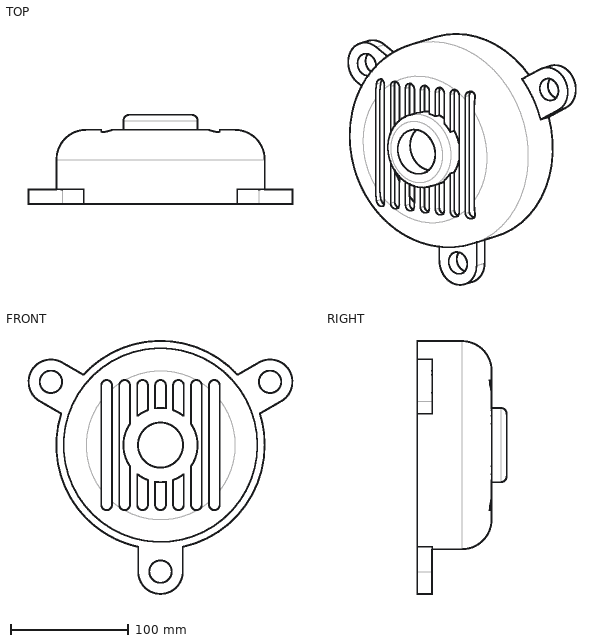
import cadquery as cq
import math

overall_width = 225.0
overall_depth = 76.3
body_radius = 89.0
body_depth = 63.5
wall = 6.3
shoulder_radius = 25.5

boss_radius = 31.7
boss_edge_radius = 5.2
bore_radius = 19.1

lug_radius = 19.1
lug_thickness = 12.5
lug_hole_radius = 9.5
lug_angles = (30, 150, 270)
lug_distance = (overall_width / 2 - lug_radius) / math.cos(math.radians(lug_angles[0]))

slot_count = 7
slot_pitch = 15.3
slot_width = 9.0
slot_length = 110.7

cavity_radius = body_radius - wall
cavity_depth = body_depth - wall


def cylinder(radius, start, end):
    """Solid cylinder on the cover's axis from Y = start to Y = end."""
    return cq.Workplane("XZ", origin=(0, start, 0)).circle(radius).extrude(start - end)


def lug(angle):
    """Round-ended mounting lug reaching from the axis out at the given angle."""
    arm = (
        cq.Workplane("XZ")
        .center(lug_distance / 2, 0)
        .rect(lug_distance, 2 * lug_radius)
        .extrude(-lug_thickness)
    )
    tip = cq.Workplane("XZ").center(lug_distance, 0).circle(lug_radius).extrude(-lug_thickness)
    hole = cq.Workplane("XZ").center(lug_distance, 0).circle(lug_hole_radius).extrude(-lug_thickness)
    return arm.union(tip).cut(hole).rotate((0, 0, 0), (0, 1, 0), -angle)


cover = cylinder(body_radius, 0, body_depth).faces(">Y").edges().fillet(shoulder_radius)
for lug_angle in lug_angles:
    cover = cover.union(lug(lug_angle))

cavity = cylinder(cavity_radius, 0, cavity_depth)
cavity = cavity.faces(">Y").edges().fillet(shoulder_radius - wall)
cover = cover.cut(cavity)

slots = (
    cq.Workplane("XZ", origin=(0, lug_thickness, 0))
    .rarray(slot_pitch, 2.3, slot_count, 1)
    .slot2D(slot_length, slot_width, 90)
    .extrude(lug_thickness - body_depth)
)
cover = cover.cut(slots)

boss = cylinder(boss_radius, cavity_depth, overall_depth)
boss = boss.faces(">Y").edges().fillet(boss_edge_radius)
bore = cylinder(bore_radius, 0, overall_depth)
result = cover.union(boss).cut(bore)